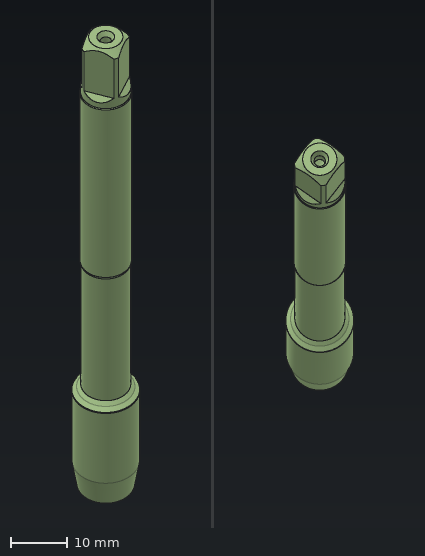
import cadquery as cq
import math


total_length = 110.0

head_diameter = 12.15
lead_end_diameter = 10.4
lead_length = 5.8
head_length = 23.0

collar_top = 23.25
shoulder_top = 23.9
shoulder_top_diameter = 10.4
neck_diameter = 8.95
neck_bottom = shoulder_top + (shoulder_top_diameter - neck_diameter) / 2
neck_top = 54.6
grip_diameter = 9.32
grip_bottom = 55.15
grip_top = 96.4
grip_top_chamfer = 0.2

drive_diameter = 9.02
drive_across_flats = 7.0
flat_length = 11.1
tip_diameter = 6.1

centre_diameter = 2.0
centre_mouth_diameter = 3.15
centre_depth = 3.0
countersink_angle = 60.0
drill_point_angle = 118.0


def revolve_profile(points):
    """Revolve (radius, height) points about the Z axis."""
    return cq.Workplane("XZ").polyline(points).close().revolve(360, (0, 0), (0, 1))


def make_cutting_head():
    """Threaded envelope with a tapered lead."""
    return revolve_profile([
        (0, 0),
        (lead_end_diameter / 2, 0),
        (head_diameter / 2, lead_length),
        (head_diameter / 2, head_length),
        (0, head_length),
    ])


def make_shank_blank():
    """Round shank, from the shoulder on the head to the chamfered tip."""
    tip_chamfer = (drive_diameter - tip_diameter) / 2
    return revolve_profile([
        (0, head_length),
        (head_diameter / 2, head_length),
        (head_diameter / 2, collar_top),
        (shoulder_top_diameter / 2, shoulder_top),
        (neck_diameter / 2, neck_bottom),
        (neck_diameter / 2, neck_top),
        (grip_diameter / 2, grip_bottom),
        (grip_diameter / 2, grip_top),
        (drive_diameter / 2, grip_top + grip_top_chamfer),
        (drive_diameter / 2, total_length - tip_chamfer),
        (tip_diameter / 2, total_length),
        (0, total_length),
    ])


def make_flat_cutter():
    """Block that cuts the +X flat and leaves a 45 degree ramp at its lower end."""
    flat_x = drive_across_flats / 2
    flat_bottom = total_length - flat_length
    reach = drive_diameter / 2
    return (
        cq.Workplane("XZ")
        .polyline([
            (flat_x, flat_bottom),
            (flat_x + reach, flat_bottom - reach),
            (flat_x + reach, total_length),
            (flat_x, total_length),
        ])
        .close()
        .extrude(reach, both=True)
    )


def make_centre_hole():
    """Countersunk blind hole with a drill point."""
    rim_width = (centre_mouth_diameter - centre_diameter) / 2
    countersink_depth = rim_width / math.tan(math.radians(countersink_angle / 2))
    point_depth = centre_diameter / 2 / math.tan(math.radians(drill_point_angle / 2))
    return revolve_profile([
        (0, total_length),
        (centre_mouth_diameter / 2, total_length),
        (centre_diameter / 2, total_length - countersink_depth),
        (centre_diameter / 2, total_length - centre_depth),
        (0, total_length - centre_depth - point_depth),
    ])


def make_shank():
    shank = make_shank_blank()
    for side in range(4):
        shank = shank.cut(make_flat_cutter().rotate((0, 0, 0), (0, 0, 1), 90 * side))
    return shank.cut(make_centre_hole())


cutting_head = make_cutting_head()
shank = make_shank()
result = cq.Compound.makeCompound([cutting_head.val(), shank.val()])